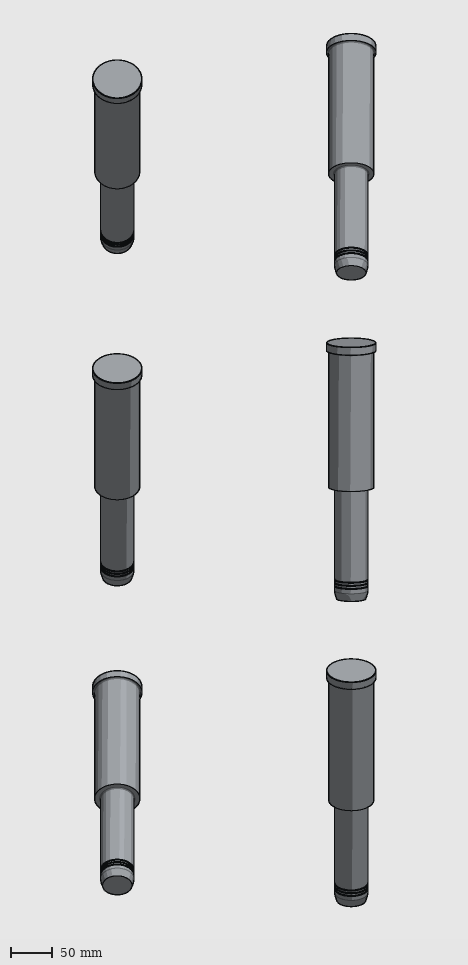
import cadquery as cq

total_length = 311.0
head_radius = 59.0 / 2
head_height = 10.0
body_radius = 54.0 / 2
shank_radius = 40.0 / 2
shank_length = 135.3
edge_chamfer = 0.5
corner_fillet = 1.0

nose_height = 10.0
nose_end_radius = 35.0 / 2
nose_mid_radius = 19.3

groove_count = 3
groove_width = 1.2
groove_depth = 0.3
groove_pitch = 3.7
first_groove_height = 16.0

head_bottom = total_length - head_height


def stepped_pin():
    """Solid of revolution with the shank, body and head."""
    profile = (
        cq.Workplane("XZ")
        .moveTo(0, 0)
        .lineTo(nose_end_radius, 0)
        .threePointArc((nose_mid_radius, nose_height / 2), (shank_radius, nose_height))
        .lineTo(shank_radius, shank_length - corner_fillet)
        .radiusArc((shank_radius + corner_fillet, shank_length), corner_fillet)
        .lineTo(body_radius, shank_length)
        .lineTo(body_radius, head_bottom - corner_fillet)
        .radiusArc((body_radius + corner_fillet, head_bottom), corner_fillet)
        .lineTo(head_radius, head_bottom)
        .lineTo(head_radius, total_length - edge_chamfer)
        .lineTo(head_radius - edge_chamfer, total_length)
        .lineTo(0, total_length)
        .close()
    )
    return profile.revolve(360, (0, 0, 0), (0, 1, 0))


def ring_groove(height):
    """Ring to remove from the shank, centred at the given height."""
    return (
        cq.Workplane("XY")
        .workplane(offset=height - groove_width / 2)
        .circle(shank_radius + groove_depth)
        .circle(shank_radius - groove_depth)
        .extrude(groove_width)
    )


result = stepped_pin()
for index in range(groove_count):
    result = result.cut(ring_groove(first_groove_height + index * groove_pitch))